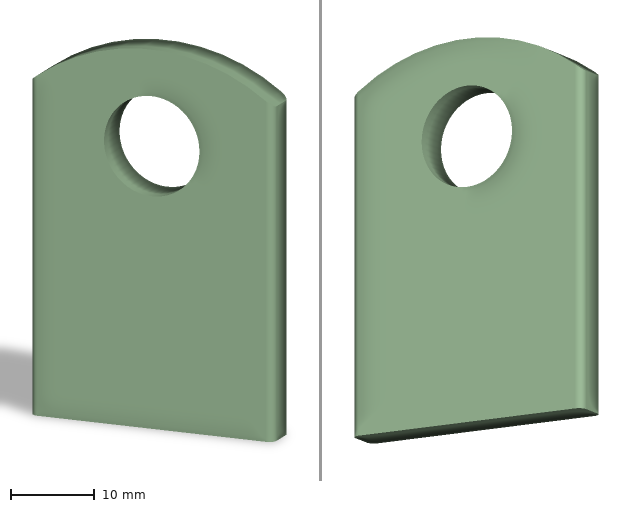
import cadquery as cq

width = 31.7
thickness = 4.7
height = 47.0

edge_radius = 1.0
shoulder_height = 41.45

hole_diameter = 12.4
hole_height = 35.0


def plate_blank():
    """Upright plate with a circular-arc top, centred on X and Y."""
    half_width = width / 2
    return (
        cq.Workplane("XZ")
        .moveTo(-half_width, 0)
        .lineTo(half_width, 0)
        .lineTo(half_width, shoulder_height)
        .threePointArc((0, height), (-half_width, shoulder_height))
        .close()
        .extrude(thickness / 2, both=True)
    )


def eye_hole():
    """Cylinder through the full thickness."""
    return (
        cq.Workplane("XZ")
        .center(0, hole_height)
        .circle(hole_diameter / 2)
        .extrude(thickness / 2, both=True)
    )


plate = plate_blank().edges("|Z").fillet(edge_radius)
result = plate.cut(eye_hole())